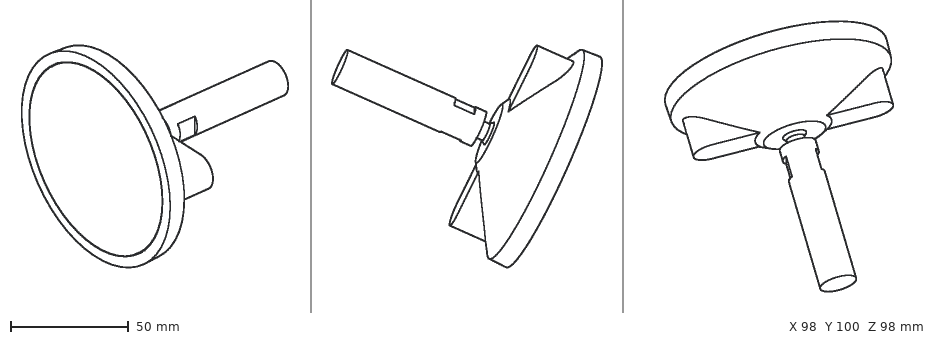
import cadquery as cq
import math


base_diameter = 98.0
rim_top_diameter = 97.2
rim_height = 8.2
cone_top_diameter = 27.4
foot_height = 30.0

groove_outer_diameter = 88.0
groove_inner_diameter = 87.5
groove_depth = 2.0

lug_length = 88.0
lug_width = 16.6
lug_top = 28.0

ball_diameter = 12.5
neck_diameter = 7.8
ball_circle_diameter = 10.4

stud_diameter = 16.0
stud_start = 35.0
overall_length = 100.0
across_flats = 13.0
flat_offset = 5.0
flat_length = 9.5

ball_center = foot_height - math.sqrt(ball_diameter**2 - ball_circle_diameter**2) / 2


def plane_at(y):
    """Sketch plane normal to the foot axis, facing +Y, with local x along X."""
    return cq.Workplane(cq.Plane(origin=(0, y, 0), xDir=(1, 0, 0), normal=(0, 1, 0)))


def cylinder(diameter, start, end):
    return plane_at(start).circle(diameter / 2).extrude(end - start)


def make_foot():
    """Slightly tapered rim below a cone, turned about Y."""
    return (
        cq.Workplane("XY")
        .lineTo(base_diameter / 2, 0)
        .lineTo(rim_top_diameter / 2, rim_height)
        .lineTo(cone_top_diameter / 2, foot_height)
        .lineTo(0, foot_height)
        .close()
        .revolve(360, (0, 0, 0), (0, 1, 0))
    )


def make_lug():
    """Bar with rounded ends, rising from the rim through the cone."""
    return plane_at(rim_height).slot2D(lug_length, lug_width).extrude(lug_top - rim_height)


def make_groove():
    return (
        plane_at(0)
        .circle(groove_outer_diameter / 2)
        .circle(groove_inner_diameter / 2)
        .extrude(groove_depth)
    )


def make_ball_and_neck():
    ball = cq.Workplane("XY").sphere(ball_diameter / 2).translate((0, ball_center, 0))
    return ball.union(cylinder(neck_diameter, ball_center, stud_start))


def make_stud():
    """Plain round stud with a pair of opposite flats facing +X and -X."""
    stud = cylinder(stud_diameter, stud_start, overall_length)
    flat_depth = (stud_diameter - across_flats) / 2
    flat_middle = stud_start + flat_offset + flat_length / 2
    for side in (-1, 1):
        cutter = cq.Workplane("XY").box(flat_depth, flat_length, stud_diameter)
        cutter_x = side * (across_flats + flat_depth) / 2
        stud = stud.cut(cutter.translate((cutter_x, flat_middle, 0)))
    return stud


foot = make_foot().union(make_lug()).cut(make_groove())
result = foot.union(make_ball_and_neck()).union(make_stud())